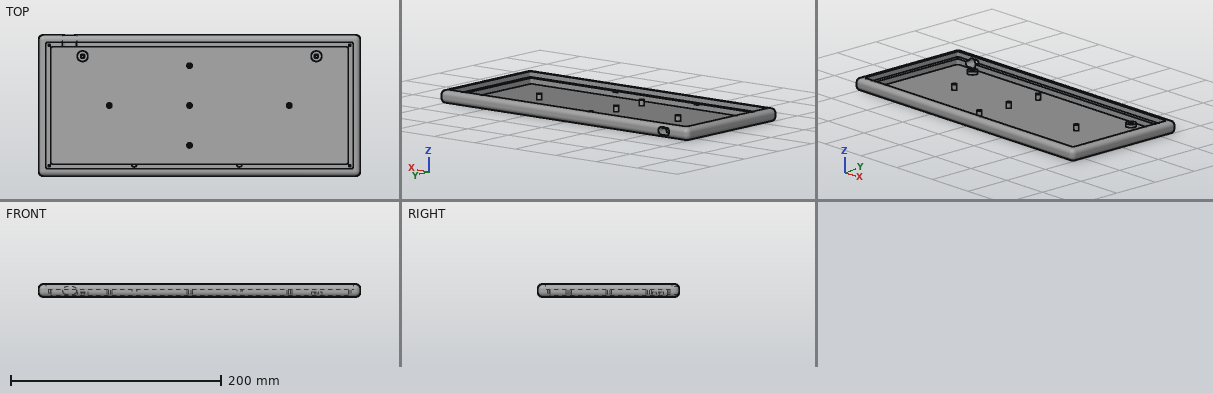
import cadquery as cq

length = 306.0
width = 134.5
height = 12.5
edge_radius = 5.0

rim_inset = 7.0
ledge_width = 4.5
ledge_z = 7.3
floor_z = 1.8
cavity_corner_radius = 1.8

cover_hole_diameter = 1.8
cover_hole_depth = 3.0
cover_hole_inset = 10.0

standoff_diameter = 5.0
standoff_bore = 2.0
standoff_left_x = -85.7
standoff_middle_x = -9.5
standoff_right_x = 85.5
standoff_spacing_y = 38.0

boss_diameter = 10.0
boss_height = 3.0
boss_bore = 4.0
boss_bore_depth = 1.0
boss_through_hole = 2.8
boss_x = 111.0
boss_y = 46.8

notch_diameter = 5.0
notch_depth = 1.2
notch_xs = (-62.0, 38.0)
notch_y = -56.0

opening_x = -123.5
opening_width = 13.5
opening_height = 7.3
opening_z = 6.5

ledge_inset = rim_inset + ledge_width


def inset_pocket(inset, bottom_z):
    """Rounded pocket, inset from the outer sides and open at the top."""
    return (
        cq.Workplane("XY", origin=(0, 0, bottom_z))
        .rect(length - 2 * inset, width - 2 * inset)
        .extrude(height - bottom_z)
        .edges("|Z")
        .fillet(cavity_corner_radius)
    )


def cylinders(points, diameter, bottom_z, top_z):
    """Upright cylinders at the given XY points."""
    return (
        cq.Workplane("XY", origin=(0, 0, bottom_z))
        .pushPoints(points)
        .circle(diameter / 2)
        .extrude(top_z - bottom_z)
    )


body = cq.Workplane("XY").box(length, width, height, centered=(True, True, False))
body = body.edges().fillet(edge_radius)
body = body.cut(inset_pocket(rim_inset, ledge_z))
body = body.cut(inset_pocket(ledge_inset, floor_z))

hole_x = length / 2 - cover_hole_inset
hole_y = width / 2 - cover_hole_inset
cover_hole_points = [(sx * hole_x, sy * hole_y) for sx in (-1, 1) for sy in (-1, 1)]
body = body.cut(cylinders(cover_hole_points, cover_hole_diameter, ledge_z - cover_hole_depth, ledge_z))

standoff_points = [(x, 0) for x in (standoff_left_x, standoff_middle_x, standoff_right_x)]
standoff_points += [(standoff_middle_x, side * standoff_spacing_y) for side in (-1, 1)]
body = body.union(cylinders(standoff_points, standoff_diameter, floor_z, ledge_z))
body = body.cut(cylinders(standoff_points, standoff_bore, floor_z, ledge_z))

boss_points = [(-boss_x, boss_y), (boss_x, boss_y)]
boss_top = floor_z + boss_height
body = body.union(cylinders(boss_points, boss_diameter, floor_z, boss_top))
body = body.cut(cylinders(boss_points, boss_bore, boss_top - boss_bore_depth, boss_top))
body = body.cut(cylinders(boss_points, boss_through_hole, 0, boss_top))

notch_points = [(x, notch_y) for x in notch_xs]
body = body.cut(cylinders(notch_points, notch_diameter, ledge_z - notch_depth, ledge_z))

opening = (
    cq.Workplane("XZ", origin=(opening_x, width / 2, opening_z))
    .slot2D(opening_width, opening_height)
    .extrude(ledge_inset)
)
result = body.cut(opening)